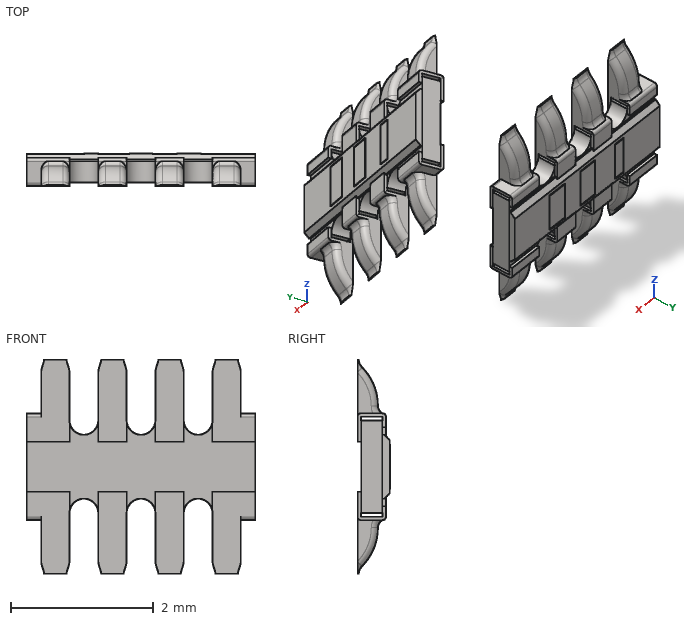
import cadquery as cq
import math


length = 3.2
substrate_half_height = 0.65
substrate_thickness = 0.298
terminal_pitch = length / 4
notch_radius = terminal_pitch / 4

terminal_count = 4
metal = 0.05
terminal_half_height = 0.75
tab_width = terminal_pitch / 2
front_leg_end = 0.35
end_back_leg_end = 0.55

tip_half_height = 1.5
tip_thickness = 0.02
tip_radius = 0.15
foot_radius = 0.115
tab_height = 0.288
side_round = 0.1
trim_depth = 0.16

coating_half_height = substrate_half_height - notch_radius
coating_thickness = 0.102
coating_chamfer = 0.077
mark_thickness = 0.01
mark_height = 0.62
mark_spans = [(-0.795, -0.6), (-0.16, 0.16), (0.505, 0.84)]

substrate_front = metal
substrate_back = substrate_front + substrate_thickness
terminal_back = substrate_back + metal
coating_back = substrate_back + coating_thickness


def block(x_limits, y_limits, z_limits):
    """Box between the given limits."""
    (x0, x1), (y0, y1), (z0, z1) = x_limits, y_limits, z_limits
    return cq.Workplane("XY").box(x1 - x0, y1 - y0, z1 - z0, centered=False).translate((x0, y0, z0))


def make_substrate():
    """Plate with half-round notches between neighbouring terminals."""
    plate = block(
        (-length / 2, length / 2),
        (substrate_front, substrate_back),
        (-substrate_half_height, substrate_half_height),
    )
    notch_centers = [
        ((i - (terminal_count - 2) / 2) * terminal_pitch, side * substrate_half_height)
        for i in range(terminal_count - 1)
        for side in (-1, 1)
    ]
    notches = (
        cq.Workplane("XZ", origin=(0, substrate_back, 0))
        .pushPoints(notch_centers)
        .circle(notch_radius)
        .extrude(substrate_thickness)
    )
    return plate.cut(notches)


def make_coating():
    """Full-length layer with bevelled long edges, carrying the raised marks."""
    coating = (
        block(
            (-length / 2, length / 2),
            (substrate_back, coating_back),
            (-coating_half_height, coating_half_height),
        )
        .faces(">Y")
        .edges("|X")
        .chamfer(coating_chamfer)
    )
    for span in mark_spans:
        mark = block(
            span,
            (coating_back, coating_back + mark_thickness),
            (-mark_height / 2, mark_height / 2),
        )
        coating = coating.union(mark)
    return coating


def arc_point(center, radius, angle):
    """Point (y, z) on a circle."""
    return (center[0] + radius * math.cos(angle), center[1] + radius * math.sin(angle))


def make_solder_tab(x_center):
    """Upward tab: hollow root, bulging middle and hollow tip, with rounded sides."""
    foot_start_angle = math.acos((substrate_back - tab_height - foot_radius) / foot_radius)
    bulge_z = terminal_half_height + foot_radius * math.sin(foot_start_angle)
    foot_center = (tab_height + foot_radius, bulge_z)

    tip_center = (tip_thickness + tip_radius, tip_half_height)
    drop = tab_height - tip_center[0]
    rise = tip_half_height - bulge_z
    bulge_radius = (drop**2 + rise**2 - tip_radius**2) / (2 * (drop + tip_radius))
    bulge_center = (tab_height - bulge_radius, bulge_z)
    tangent_angle = math.atan2(rise, tip_center[0] - bulge_center[0])

    profile = (
        cq.Workplane("YZ", origin=(x_center - tab_width / 2, 0, 0))
        .moveTo(-trim_depth, terminal_half_height)
        .lineTo(substrate_back, terminal_half_height)
        .threePointArc(
            arc_point(foot_center, foot_radius, math.pi + (math.pi - foot_start_angle) / 2),
            (tab_height, bulge_z),
        )
        .threePointArc(
            arc_point(bulge_center, bulge_radius, tangent_angle / 2),
            arc_point(bulge_center, bulge_radius, tangent_angle),
        )
        .threePointArc(
            arc_point(tip_center, tip_radius, math.pi + tangent_angle / 2),
            (tip_thickness, tip_half_height),
        )
        .lineTo(-trim_depth, tip_half_height)
        .close()
    )
    tab = profile.extrude(tab_width).edges("%CIRCLE").fillet(side_round)

    x_limits = (x_center - tab_width / 2, x_center + tab_width / 2)
    trim = block(x_limits, (-trim_depth, 0), (terminal_half_height, tip_half_height))
    root = block(x_limits, (0, metal), (terminal_half_height - metal, terminal_half_height))
    return tab.cut(trim).union(root)


def make_terminal(index, coating):
    """Terminal of the upper row: strip folded round the substrate edge, plus its tab."""
    x_center = (index - (terminal_count - 1) / 2) * terminal_pitch
    x_left = x_center - tab_width / 2
    x_right = x_center + tab_width / 2
    is_end = index in (0, terminal_count - 1)

    if index == 0:
        x_left = -length / 2
    if index == terminal_count - 1:
        x_right = length / 2

    back_leg_end = end_back_leg_end if is_end else front_leg_end

    inner_half_height = terminal_half_height - metal
    strip = (
        cq.Workplane("YZ", origin=(x_left, 0, 0))
        .moveTo(0, front_leg_end)
        .lineTo(0, terminal_half_height)
        .lineTo(terminal_back, terminal_half_height)
        .lineTo(terminal_back, back_leg_end)
        .lineTo(substrate_back, back_leg_end)
        .lineTo(substrate_back, inner_half_height)
        .lineTo(substrate_front, inner_half_height)
        .lineTo(substrate_front, front_leg_end)
        .close()
        .extrude(x_right - x_left)
        .faces(">Z")
        .edges("|X")
        .fillet(metal)
    )
    return strip.union(make_solder_tab(x_center)).cut(coating)


substrate = make_substrate()
coating = make_coating()
terminals = []
for index in range(terminal_count):
    terminal = make_terminal(index, coating)
    terminals.append(terminal.solids().val())
    terminals.append(terminal.mirror("XY").solids().val())

result = cq.Compound.makeCompound([substrate.solids().val(), coating.solids().val(), *terminals])